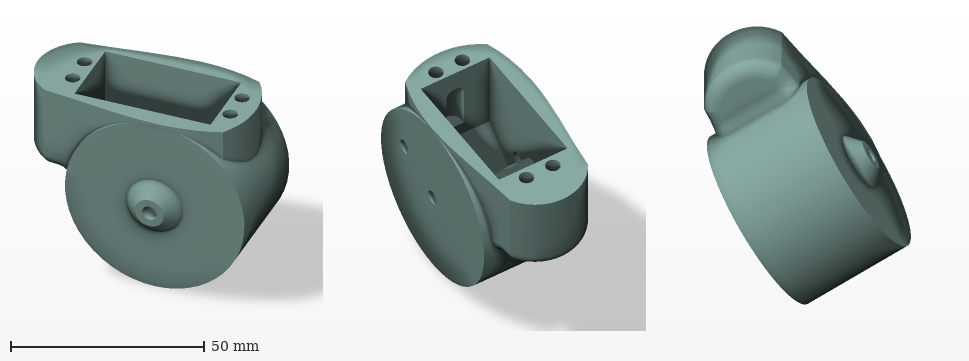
import cadquery as cq
import math


drum_radius = 25.1
body_half_width = 15.5
drum_front = -15.15
drum_back = body_half_width
nozzle_height = 3.7
nozzle_base_radius = 7.85
bore_diameter = 4.0
nozzle_tip_radius = bore_diameter

body_top = 25.9
body_bottom = 1.9
left_end = -38.9
left_corner = (-32.0, 11.9)
left_flank = (-13.4, 14.4)
right_corner = (18.0, 12.55)
right_end = 22.05
edge_round = 4.0
neck_radius = 3.25

cavity_left = -24.3
cavity_right = 13.7
cavity_half_width = 10.5
floor_height = 5.75
step_start = -7.1
step_round = neck_radius
ramp_angle = 45.0
ramp_top = 1.9

screw_diameter = 4.0
screw_depth = 8.0
screw_columns = (-27.45, 16.55)
screw_offset = 4.0
relief_radius = 2.7
relief_straight = 1.3
relief_spring_height = 17.2
side_hole_diameter = 4.0
side_hole_height = 6.9


def cylinder_y(radius, y_start, y_end, x=0, z=0):
    """Cylinder along +Y from y_start to y_end."""
    direction = cq.Vector(0, 1, 0)
    return cq.Workplane(cq.Solid.makeCylinder(radius, y_end - y_start, cq.Vector(x, y_start, z), direction))


def make_body():
    """Bulged block whose underside sweeps down through a concave neck into the drum."""
    lx, ly = left_corner
    fx, fy = left_flank
    rx, ry = right_corner
    neck_center_x = -drum_radius - neck_radius
    neck_bottom = body_bottom - neck_radius
    outline = (
        cq.Workplane("XY", origin=(0, 0, neck_bottom))
        .moveTo(lx, -ly)
        .spline([(fx, -fy), (0, -body_half_width), (rx, -ry)], includeCurrent=True)
        .threePointArc((right_end, 0), (rx, ry))
        .spline([(0, body_half_width), (fx, fy), (lx, ly)], includeCurrent=True)
        .threePointArc((left_end, 0), (lx, -ly))
        .close()
        .extrude(body_top - neck_bottom)
    )
    half_chord = neck_radius * math.sqrt(0.5)
    side = (
        cq.Workplane("XZ")
        .moveTo(left_end, body_top)
        .lineTo(left_end, body_bottom)
        .lineTo(neck_center_x, body_bottom)
        .threePointArc((neck_center_x + half_chord, neck_bottom + half_chord), (-drum_radius, neck_bottom))
        .lineTo(right_end, neck_bottom)
        .lineTo(right_end, body_top)
        .close()
        .extrude(body_half_width, both=True)
    )
    body = outline.intersect(side)
    underside = cq.selectors.BoxSelector(
        (left_end - 0.65, -body_half_width, neck_bottom + 0.05),
        (-drum_radius, body_half_width, body_bottom + 0.05),
    )
    rim = body.edges(underside).edges("not(#X and #Z)")
    return rim.fillet(edge_round)


def make_drum():
    drum = cylinder_y(drum_radius, drum_front, drum_back)
    nozzle = cq.Workplane(
        cq.Solid.makeCone(
            nozzle_base_radius,
            nozzle_tip_radius,
            nozzle_height,
            cq.Vector(0, drum_front, 0),
            cq.Vector(0, -1, 0),
        )
    )
    return drum.union(nozzle)


def make_cavity():
    """Rectangular pocket whose floor rolls over a step into a deep end with a rising ramp."""
    drop_x = step_start + step_round
    half_chord = step_round * math.sqrt(0.5)
    ramp_bottom = ramp_top - (cavity_right - drop_x) * math.tan(math.radians(ramp_angle))
    return (
        cq.Workplane("XZ")
        .moveTo(cavity_left, body_top)
        .lineTo(cavity_left, floor_height)
        .lineTo(step_start, floor_height)
        .threePointArc(
            (step_start + half_chord, floor_height - step_round + half_chord),
            (drop_x, floor_height - step_round),
        )
        .lineTo(drop_x, ramp_bottom)
        .lineTo(cavity_right, ramp_top)
        .lineTo(cavity_right, body_top)
        .close()
        .extrude(cavity_half_width, both=True)
    )


def make_relief():
    """Round-ended slot in the cavity's right wall, closed above by a domed arch."""
    end_x = cavity_right + relief_straight
    height = relief_spring_height - floor_height
    base = cq.Workplane("XY", origin=(0, 0, floor_height))
    end = base.center(end_x, 0).circle(relief_radius).extrude(height)
    straight = (
        base.center(cavity_right + relief_straight / 2, 0)
        .rect(relief_straight, 2 * relief_radius)
        .extrude(height)
    )
    arch = (
        cq.Workplane("YZ", origin=(cavity_right, 0, relief_spring_height))
        .circle(relief_radius)
        .extrude(relief_straight)
    )
    dome = cq.Workplane("XY", origin=(end_x, 0, relief_spring_height)).sphere(relief_radius)
    return end.union(straight).union(arch).union(dome)


def make_screw_holes():
    centers = [(x, y) for x in screw_columns for y in (-screw_offset, screw_offset)]
    return (
        cq.Workplane("XY", origin=(0, 0, body_top))
        .pushPoints(centers)
        .circle(screw_diameter / 2)
        .extrude(-screw_depth)
    )


bore = cylinder_y(bore_diameter / 2, drum_front - nozzle_height, drum_back)
side_hole = cylinder_y(
    side_hole_diameter / 2, cavity_half_width, drum_back, cavity_right, side_hole_height
)

face_trim = cylinder_y(drum_radius, -body_half_width, drum_front)

result = make_body().cut(face_trim).union(make_drum())
for cutter in (make_cavity(), make_relief(), make_screw_holes(), bore, side_hole):
    result = result.cut(cutter)